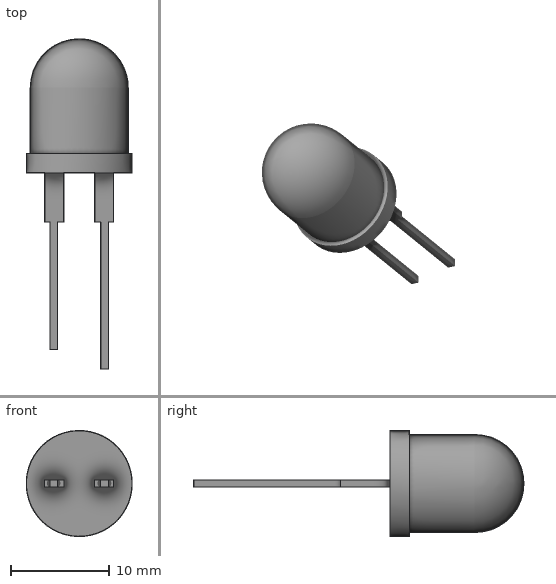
import cadquery as cq

RIM_DIAMETER = 10.8
RIM_HEIGHT = 2.0
LENS_DIAMETER = 10.0
BARREL_HEIGHT = 6.65

LEAD_PITCH = 5.08
LEAD_THICKNESS = 0.75
SHOULDER_WIDTH = 1.95
SHOULDER_LENGTH = 5.0
PIN_WIDTH = 0.8
PIN_OUTWARD_OFFSET = 0.05
OVERALL_LENGTH = 33.65
LEAD_LENGTH_DIFFERENCE = 2.0

rim_radius = RIM_DIAMETER / 2
lens_radius = LENS_DIAMETER / 2
barrel_top = RIM_HEIGHT + BARREL_HEIGHT
dome_tip = barrel_top + lens_radius
long_lead_length = OVERALL_LENGTH - dome_tip
short_lead_length = long_lead_length - LEAD_LENGTH_DIFFERENCE


def make_lens():
    """Revolve the half section of rim, barrel and hemispherical dome about Y."""
    diagonal = lens_radius / 2 ** 0.5
    return (
        cq.Workplane("XY")
        .lineTo(rim_radius, 0)
        .lineTo(rim_radius, RIM_HEIGHT)
        .lineTo(lens_radius, RIM_HEIGHT)
        .lineTo(lens_radius, barrel_top)
        .threePointArc((diagonal, barrel_top + diagonal), (0, dome_tip))
        .close()
        .revolve(360, (0, 0), (0, 1))
    )


def make_strip(center_x, width, length):
    """Flat strip from the rim underside toward -Y, centred on Z = 0."""
    return cq.Workplane("XY").box(width, length, LEAD_THICKNESS).translate((center_x, -length / 2, 0))


def make_lead(side, length):
    """One lead: a wide shoulder and a narrow pin; side is -1 or +1 along X."""
    shoulder_x = side * LEAD_PITCH / 2
    pin_x = shoulder_x + side * PIN_OUTWARD_OFFSET
    shoulder = make_strip(shoulder_x, SHOULDER_WIDTH, SHOULDER_LENGTH)
    pin = make_strip(pin_x, PIN_WIDTH, length)
    return shoulder.union(pin).clean()


lens = make_lens()
leads = [
    make_lead(side, length)
    for side, length in ((-1, short_lead_length), (1, long_lead_length))
]

result = cq.Compound.makeCompound([lens.val(), *[lead.val() for lead in leads]])